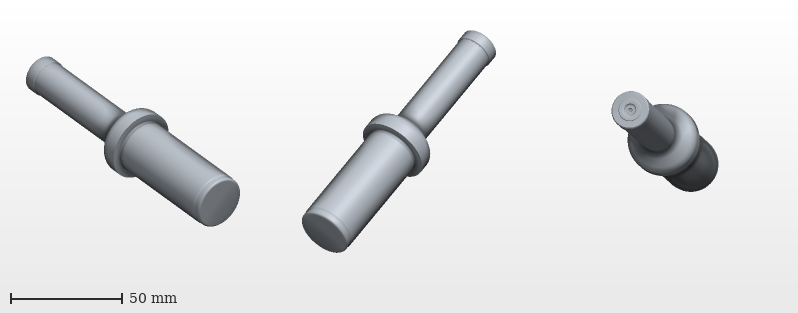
import cadquery as cq
import math

total_length = 128.0

tip_length = 6.3
tip_radius = 8.7
tip_rear_chamfer = 0.4
tip_front_bevel = 0.5
rim_bevel = 0.4
boss_height = 0.3
boss_base_radius = 5.2
boss_top_radius = 5.0
dish_radius = 3.7
dish_depth = 0.1
recess_radius = 2.8
recess_wall_root = 2.5
recess_wall_depth = 0.6
recess_floor_radius = 2.2
recess_depth = 0.8
pilot_radius = 1.0
pilot_floor_radius = 0.6
pilot_depth = 0.6

neck_radius = 16.5 / 2
flange_radius = 32.0 / 2
flange_rear = 72.0
flange_rim_width = 5.0
blend_radius = 5.0
flare_angle = math.radians(52)

shank_radius = 25.0 / 2
relief_radius = 24.5 / 2
relief_fillet = 0.5
relief_flat_end = 73.1
shank_start = 73.9
end_land_length = 3.8
end_step_length = 0.8
end_round = 1.0


def revolve_about_x(profile):
    """Turn a closed (x, radius) profile about the X axis."""
    return profile.close().revolve(360, (0, 0, 0), (1, 0, 0))


def make_tip():
    """Bevelled tip with a shallow central boss, stepped recess and pilot recess."""
    face = boss_height
    pilot_floor = recess_depth + pilot_depth
    bevel_start = face + rim_bevel
    profile = (
        cq.Workplane("XY")
        .moveTo(pilot_floor, 0)
        .lineTo(pilot_floor, pilot_floor_radius)
        .lineTo(recess_depth, pilot_radius)
        .lineTo(recess_depth, recess_floor_radius)
        .lineTo(recess_wall_depth, recess_wall_root)
        .lineTo(dish_depth, recess_radius)
        .lineTo(0, dish_radius)
        .lineTo(0, boss_top_radius)
        .lineTo(face, boss_base_radius)
        .lineTo(face, tip_radius - tip_front_bevel)
        .lineTo(bevel_start, tip_radius - tip_front_bevel / 4)
        .lineTo(bevel_start + rim_bevel, tip_radius)
        .lineTo(tip_length - tip_rear_chamfer, tip_radius)
        .lineTo(tip_length, tip_radius - tip_rear_chamfer)
        .lineTo(tip_length, 0)
    )
    return revolve_about_x(profile)


def make_holder():
    """Neck, flared flange and shank turned as one piece."""
    blend_length = blend_radius * math.sin(flare_angle)
    blend_rise = blend_radius * (1 - math.cos(flare_angle))
    half_length = blend_radius * math.sin(flare_angle / 2)
    half_rise = blend_radius * (1 - math.cos(flare_angle / 2))
    cone_rise = flange_radius - neck_radius - 2 * blend_rise
    rim_start = flange_rear - flange_rim_width
    cone_end = rim_start - blend_length
    cone_start = cone_end - cone_rise / math.tan(flare_angle)
    neck_end = cone_start - blend_length

    fillet_mid = relief_fillet * (1 - math.sqrt(0.5))
    land_start = total_length - end_land_length
    round_mid = end_round * (1 - math.sqrt(0.5))

    profile = (
        cq.Workplane("XY")
        .moveTo(tip_length, 0)
        .lineTo(tip_length, neck_radius)
        .lineTo(neck_end, neck_radius)
        .threePointArc(
            (neck_end + half_length, neck_radius + half_rise),
            (cone_start, neck_radius + blend_rise),
        )
        .lineTo(cone_end, flange_radius - blend_rise)
        .threePointArc(
            (rim_start - half_length, flange_radius - half_rise),
            (rim_start, flange_radius),
        )
        .lineTo(flange_rear, flange_radius)
        .lineTo(flange_rear, relief_radius + relief_fillet)
        .threePointArc(
            (flange_rear + fillet_mid, relief_radius + fillet_mid),
            (flange_rear + relief_fillet, relief_radius),
        )
        .lineTo(relief_flat_end, relief_radius)
        .lineTo(shank_start, shank_radius)
        .lineTo(land_start, shank_radius)
        .lineTo(land_start + end_step_length, relief_radius)
        .lineTo(total_length - end_round, relief_radius)
        .threePointArc(
            (total_length - round_mid, relief_radius - round_mid),
            (total_length, relief_radius - end_round),
        )
        .lineTo(total_length, 0)
    )
    return revolve_about_x(profile)


def centred(body):
    """Place the middle of the overall length at the origin."""
    return body.translate((-total_length / 2, 0, 0))


tip = centred(make_tip())
holder = centred(make_holder())

result = cq.Compound.makeCompound([tip.val(), holder.val()])